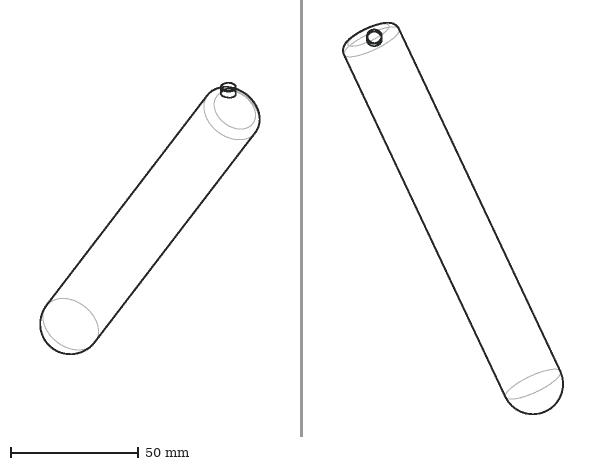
import cadquery as cq

length = 170.0
rod_diameter = 24.0
overall_height = 27.0
rod_radius = rod_diameter / 2

end_fillet = 3.0

pin_diameter = 6.0
pin_from_end = 6.0
pin_chamfer = 0.25
pin_top = overall_height - rod_radius


def make_rod():
    """Rod along Y, centred on Y, with a hemispherical nose at -Y."""
    nose_tip = -length / 2
    nose_base = nose_tip + rod_radius
    arc_offset = rod_radius * 0.5**0.5
    profile = (
        cq.Workplane("XY")
        .moveTo(0, nose_tip)
        .threePointArc((arc_offset, nose_base - arc_offset), (rod_radius, nose_base))
        .lineTo(rod_radius, length / 2)
        .lineTo(0, length / 2)
        .close()
    )
    rod = profile.revolve(360, (0, 0, 0), (0, 1, 0))
    return rod.faces(">Y").edges().fillet(end_fillet)


def make_pin():
    """Upright pin starting on the rod axis, with a slightly chamfered top edge."""
    return (
        cq.Workplane("XY")
        .center(0, length / 2 - pin_from_end)
        .circle(pin_diameter / 2)
        .extrude(pin_top)
        .faces(">Z")
        .edges()
        .chamfer(pin_chamfer)
    )


result = make_rod().union(make_pin())